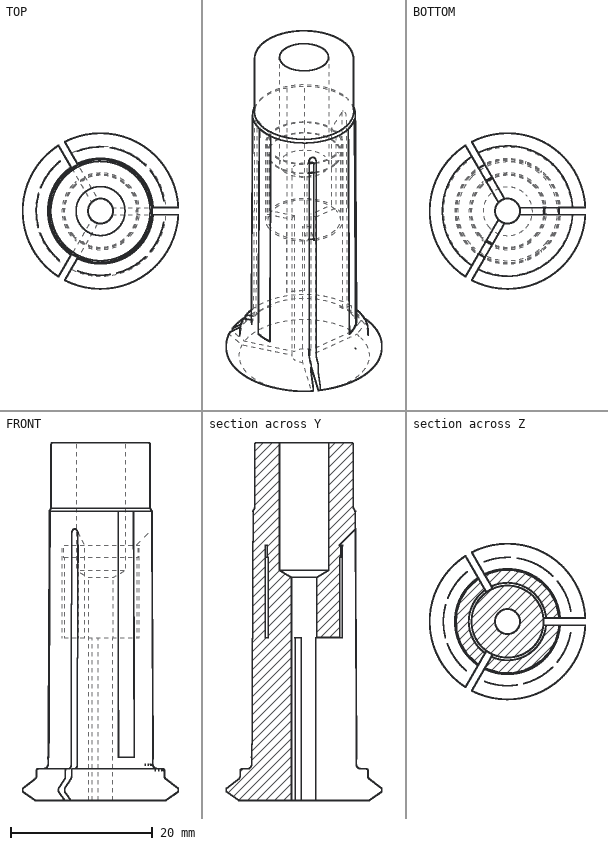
import cadquery as cq
import math

total_height = 50.5
rim_radius = 11.0

foot_radius = 9.2
rim_low_z = 1.25
rim_high_z = 1.7
rim_rounding = 0.15
collar_radius = 9.05
collar_base_z = 3.2
collar_base_rounding = 0.45
collar_top_z = 4.5
collar_rounding = 0.3

neck_radius = 7.4
neck_fillet = 0.65
neck_top_z = 5.75
body_base_radius = 7.45
body_base_z = 6.1
body_top_radius = 7.27
body_top_z = 40.8
relief_depth = 0.06
relief_angle = 20.0

head_radius = 7.0
head_base_z = 41.25
head_rounding = 0.3

bore_radius = 6.92 / 2
through_radius = 3.5 / 2
bore_depth = 18.0
cone_half_angle = 59.0

gap_floor_z = 23.0
gap_top_z = 36.0
sleeve_inner_radius = 10.9 / 2
core_radius = 10.2 / 2
core_shoulder_radius = 10.5 / 2
core_shoulder_z = 34.3

segment_count = 3
segment_angle = 360.0 / segment_count
slot_width = 1.0
slot_end_z = 37.6


def revolve_outline(outline):
    """Turn an outline drawn as (radius, height) about the Z axis."""
    return outline.close().revolve(360, (0, 0, 0), (0, 1, 0))


def circles_between(low_z, high_z):
    """Selector for the circular edges of the flange that lie between two heights."""
    reach = 2 * rim_radius
    band = cq.selectors.BoxSelector((-reach, -reach, low_z), (reach, reach, high_z))
    return band & cq.selectors.TypeSelector("CIRCLE")


def outer_form():
    """Solid of revolution with the flange, neck, tapered body and head."""
    outline = (
        cq.Workplane("XZ")
        .lineTo(foot_radius, 0)
        .lineTo(rim_radius, rim_low_z)
        .lineTo(rim_radius, rim_high_z)
        .lineTo(collar_radius, collar_base_z)
        .lineTo(collar_radius, collar_top_z - collar_rounding)
        .radiusArc((collar_radius - collar_rounding, collar_top_z), -collar_rounding)
        .lineTo(neck_radius + neck_fillet, collar_top_z)
        .radiusArc((neck_radius, collar_top_z + neck_fillet), neck_fillet)
        .lineTo(neck_radius, neck_top_z)
        .lineTo(body_base_radius, body_base_z)
        .lineTo(body_top_radius, body_top_z)
        .lineTo(head_radius, head_base_z)
        .lineTo(head_radius, total_height - head_rounding)
        .radiusArc((head_radius - head_rounding, total_height), -head_rounding)
        .lineTo(0, total_height)
    )
    form = revolve_outline(outline)
    rim_edges = circles_between(rim_low_z - rim_rounding, rim_high_z + rim_rounding)
    form = form.edges(rim_edges).fillet(rim_rounding)
    base_edges = circles_between(collar_base_z - rim_rounding, collar_base_z + rim_rounding)
    return form.edges(base_edges).fillet(collar_base_rounding)


def relief_strip():
    """Thin tapered shell sector removed from the body between two slots."""
    outline = (
        cq.Workplane("XZ")
        .moveTo(body_base_radius - relief_depth, body_base_z)
        .lineTo(rim_radius, body_base_z)
        .lineTo(rim_radius, body_top_z)
        .lineTo(body_top_radius - relief_depth, body_top_z)
        .close()
    )
    return outline.revolve(relief_angle, (0, 0, 0), (0, 1, 0))


def central_hole():
    """Upper bore with a conical bottom leading into the narrow through hole."""
    cone_top_z = total_height - bore_depth
    cone_height = (bore_radius - through_radius) / math.tan(math.radians(cone_half_angle))
    outline = (
        cq.Workplane("XZ")
        .lineTo(through_radius, 0)
        .lineTo(through_radius, cone_top_z - cone_height)
        .lineTo(bore_radius, cone_top_z)
        .lineTo(bore_radius, total_height)
        .lineTo(0, total_height)
    )
    return revolve_outline(outline)


def cylinder(radius, low_z, high_z):
    """Upright cylinder on the Z axis between two heights."""
    return cq.Workplane("XY").workplane(offset=low_z).circle(radius).extrude(high_z - low_z)


def core():
    """Stepped core that stands in the sleeve and leaves an annular gap around it."""
    lower = cylinder(core_radius, gap_floor_z, gap_top_z)
    return lower.union(cylinder(core_shoulder_radius, core_shoulder_z, gap_top_z))


def slot():
    """Cutter for a radial slot along +X, from the axis outwards.

    Its upper end slopes down inwards at 45 degrees and is rounded across the slot.
    """
    half_width = slot_width / 2
    slope_offset = slot_end_z - body_top_radius
    blade = (
        cq.Workplane("XZ")
        .lineTo(rim_radius + slot_width, 0)
        .lineTo(rim_radius + slot_width, rim_radius + slot_width + slope_offset)
        .lineTo(0, slope_offset)
        .close()
        .extrude(half_width, both=True)
    )
    end_length = math.sqrt(2) * (rim_radius + slot_width)
    slope_start = cq.Plane(origin=(0, 0, slope_offset), xDir=(0, 1, 0), normal=(1, 0, 1))
    round_end = cq.Workplane(slope_start).circle(half_width).extrude(end_length)
    return blade.union(round_end)


sleeve = outer_form().cut(cylinder(sleeve_inner_radius, gap_floor_z, gap_top_z))
for index in range(segment_count):
    slot_angle = index * segment_angle
    strip_start = slot_angle + (segment_angle - relief_angle) / 2
    sleeve = sleeve.cut(relief_strip().rotate((0, 0, 0), (0, 0, 1), strip_start))
    sleeve = sleeve.cut(slot().rotate((0, 0, 0), (0, 0, 1), slot_angle))

result = sleeve.union(core()).cut(central_hole())